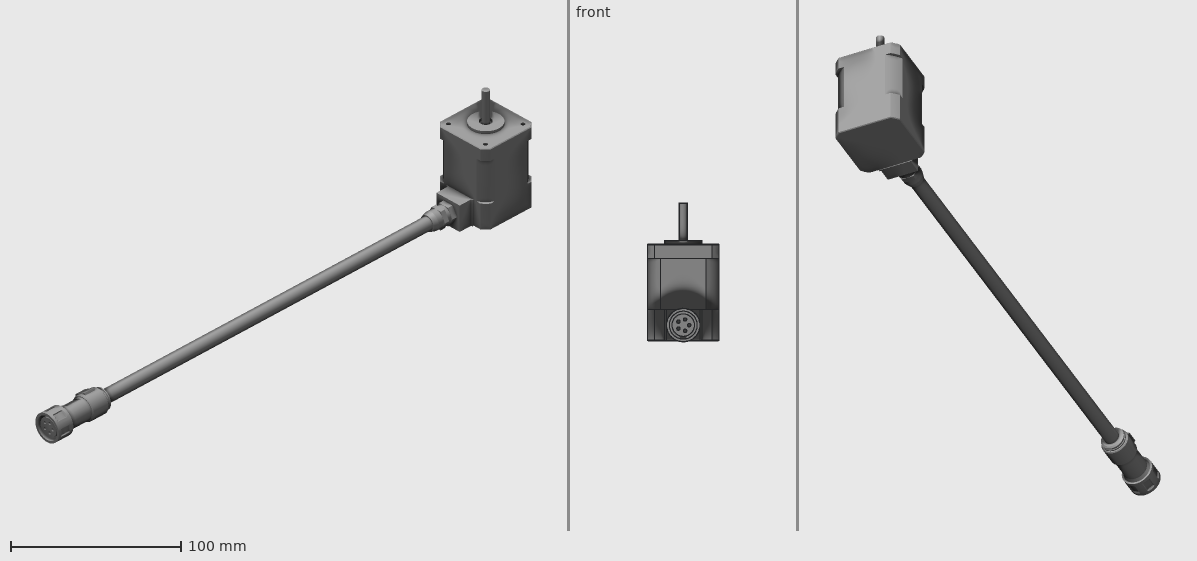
import cadquery as cq
import math

motor_width = 42.16
half_width = motor_width / 2
front_end = -362.95

cap_height = 18.5
stator_height = 30.0
flange_height = 8.5
boss_height = 2.0
shaft_length = 22.0
stator_base = cap_height
flange_base = stator_base + stator_height
flange_top = flange_base + flange_height
boss_top = flange_top + boss_height
shaft_top = boss_top + shaft_length

edge_chamfer = 0.5
end_corner_diameter = 54.0
stator_corner_diameter = 50.0
boss_diameter = 22.0
shaft_recess_diameter = 8.2
shaft_recess_depth = 2.0
shaft_diameter = 5.0
mount_spacing = 31.0
mount_hole_diameter = 3.0
mount_hole_depth = 4.5

coupling_radius = 9.85
overall_height = 81.56
cable_z = shaft_top - overall_height + coupling_radius

plinth_width = 21.8
plinth_thickness = 0.7
block_width = 19.5
outlet_block_end = -31.2
first_collar_end = -35.0
second_collar_start = -37.6
second_collar_end = -41.1
neck_taper_start = -45.0
outlet_end = -48.5
collar_across_flats = 13.0
neck_radius = 6.4
neck_end_radius = 5.4
cable_radius = 4.6

plug_start = -316.9
tail_start = -317.5
nut_start = -320.2
nut_end = -333.5
coupling_start = -351.0
coupling_shoulder_start = -349.0
tail_radius = 7.5
tail_end_radius = 6.3
nut_radius = 8.7
barrel_radius = 7.6
coupling_shoulder_radius = 8.6
nut_chamfer = 0.6
tail_groove_width = 0.8
tail_groove_depth = 0.5

flat_side_angle = 120.0
lug_start = -323.4
lug_end = -331.5
lug_width = 9.0
lug_top_radius = 8.95
label_start = -335.3
label_end = -346.5
label_depth = 1.0

grip_count = 6
grip_length = 8.0
grip_width = 6.0
grip_depth = 1.0
grip_taper = 40.0
socket_radius = 8.2
socket_depth = 8.0
insert_radius = 6.6
insert_setback = 1.0
pin_count = 5
pin_circle_radius = 3.5
pin_hole_diameter = 2.0
pin_hole_depth = 5.0


def rounded_square(corner_diameter, base, height):
    """A square prism whose corners are turned down to a circle about the shaft axis."""
    square = cq.Workplane("XY", origin=(0, 0, base)).rect(motor_width, motor_width).extrude(height)
    turned = cq.Workplane("XY", origin=(0, 0, base)).circle(corner_diameter / 2).extrude(height)
    return square.intersect(turned)


def across_cable(y):
    """A sketch plane across the cable axis at y, facing -Y."""
    return cq.Workplane("XZ", origin=(0, y, cable_z))


def cylinder_along(radius, start, end):
    return across_cable(start).circle(radius).extrude(start - end)


def at_angle(solid, angle):
    """Turn a solid built above the cable axis so that it sits at an angle from +X toward +Z."""
    return solid.rotate((0, 0, cable_z), (0, 1, cable_z), 90 - angle)


def make_rear_cap():
    cap = rounded_square(end_corner_diameter, 0, cap_height)
    return cap.faces("<Z").chamfer(edge_chamfer)


def make_stator():
    return rounded_square(stator_corner_diameter, stator_base, stator_height)


def make_flange():
    flange = rounded_square(end_corner_diameter, flange_base, flange_height)
    flange = flange.faces(">Z").chamfer(edge_chamfer)
    boss = cq.Workplane("XY", origin=(0, 0, flange_top)).circle(boss_diameter / 2).extrude(boss_height)
    flange = flange.union(boss)
    top = cq.Workplane("XY", origin=(0, 0, boss_top))
    flange = flange.cut(top.circle(shaft_recess_diameter / 2).extrude(-shaft_recess_depth))
    flange = flange.cut(top.circle(shaft_diameter / 2).extrude(-(boss_top - flange_base)))
    mount_holes = (
        cq.Workplane("XY", origin=(0, 0, flange_top))
        .rect(mount_spacing, mount_spacing, forConstruction=True)
        .vertices()
        .circle(mount_hole_diameter / 2)
        .extrude(-mount_hole_depth)
    )
    return flange.cut(mount_holes)


def make_shaft():
    length = shaft_top - flange_base
    return cq.Workplane("XY", origin=(0, 0, flange_base)).circle(shaft_diameter / 2).extrude(length)


def hexagonal_collar(start, end):
    """A hexagon with flats above and below and corners toward -X and +X."""
    across_corners = collar_across_flats / math.cos(math.pi / 6)
    return across_cable(start).polygon(6, across_corners).extrude(start - end)


def outlet_block(width, end):
    """A full-height block from the rear cap's face out to end."""
    length = -half_width - end
    block = cq.Workplane("XY").box(width, length, cap_height, centered=(True, False, False))
    return block.translate((0, end, 0))


def make_cable_outlet():
    outlet = outlet_block(block_width, outlet_block_end)
    outlet = outlet.union(outlet_block(plinth_width, -half_width - plinth_thickness))
    outlet = outlet.union(hexagonal_collar(outlet_block_end, first_collar_end))
    outlet = outlet.union(hexagonal_collar(second_collar_start, second_collar_end))
    outlet = outlet.union(cylinder_along(neck_radius, outlet_block_end, neck_taper_start))
    taper = (
        across_cable(neck_taper_start)
        .circle(neck_radius)
        .workplane(offset=neck_taper_start - outlet_end)
        .circle(neck_end_radius)
        .loft()
    )
    return outlet.union(taper)


def make_cable():
    return cylinder_along(cable_radius, outlet_end, plug_start)


def plug_body():
    """The turned shape of the plug, from its tail to the coupling ring's front."""
    groove_start = (tail_start + nut_start + tail_groove_width) / 2
    groove_end = groove_start - tail_groove_width
    groove_radius = tail_radius - tail_groove_depth
    profile = [
        (0, plug_start),
        (tail_end_radius, plug_start),
        (tail_radius, tail_start),
        (tail_radius, groove_start),
        (groove_radius, groove_start),
        (groove_radius, groove_end),
        (tail_radius, groove_end),
        (tail_radius, nut_start),
        (nut_radius - nut_chamfer, nut_start),
        (nut_radius, nut_start - nut_chamfer),
        (nut_radius, nut_end + nut_chamfer),
        (nut_radius - nut_chamfer, nut_end),
        (barrel_radius, nut_end),
        (barrel_radius, coupling_shoulder_start),
        (coupling_shoulder_radius, coupling_start),
        (coupling_radius, coupling_start),
        (coupling_radius, front_end),
        (0, front_end),
    ]
    body = cq.Workplane("XY").polyline(profile).close().revolve(360, (0, 0, 0), (0, 1, 0))
    return body.translate((0, 0, cable_z))


def nut_lug():
    lug = cq.Workplane("XY", origin=(0, (lug_start + lug_end) / 2, cable_z))
    lug = lug.rect(lug_width, lug_start - lug_end).extrude(lug_top_radius)
    return at_angle(lug, flat_side_angle)


def label_recess():
    middle = (label_start + label_end) / 2
    floor = cq.Workplane("XY", origin=(0, middle, cable_z + barrel_radius - label_depth))
    recess = floor.rect(2 * barrel_radius, label_start - label_end).extrude(2 * label_depth)
    return at_angle(recess, flat_side_angle)


def grip_pocket(angle):
    middle = (coupling_start + front_end) / 2
    surface = cq.Workplane("XY", origin=(0, middle, cable_z + coupling_radius))
    pocket = surface.rect(grip_width, grip_length).extrude(-grip_depth, taper=grip_taper)
    return at_angle(pocket, angle)


def front_socket():
    """The ring-shaped opening around the contact insert, with the insert's face set back."""
    ring = across_cable(front_end + socket_depth).circle(socket_radius).circle(insert_radius)
    opening = ring.extrude(socket_depth)
    setback = cylinder_along(insert_radius, front_end + insert_setback, front_end)
    return opening.union(setback)


def pin_holes():
    holes = across_cable(front_end + insert_setback).polarArray(pin_circle_radius, 0, 360, pin_count)
    return holes.circle(pin_hole_diameter / 2).extrude(-pin_hole_depth)


def make_plug():
    plug = plug_body().union(nut_lug())
    plug = plug.cut(label_recess())
    for index in range(grip_count):
        plug = plug.cut(grip_pocket(index * 360 / grip_count))
    return plug.cut(front_socket()).cut(pin_holes())


rear_cap = make_rear_cap()
stator = make_stator()
flange = make_flange()
shaft = make_shaft()
cable_outlet = make_cable_outlet()
cable = make_cable()
plug = make_plug()

result = cq.Compound.makeCompound(
    [
        rear_cap.val(),
        stator.val(),
        flange.val(),
        shaft.val(),
        cable_outlet.val(),
        cable.val(),
        plug.val(),
    ]
)